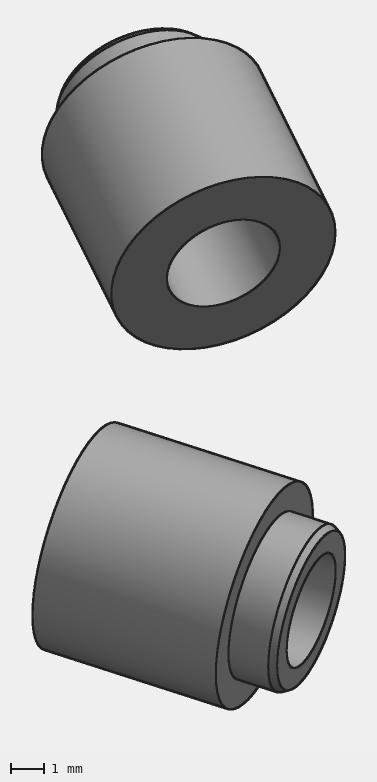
import cadquery as cq

body_diameter = 7.14
body_length = 6.0
spigot_diameter = 5.28
spigot_length = 1.53
bore_diameter = 3.6
chamfer_length = 0.23
chamfer_depth = 0.14

body_radius = body_diameter / 2
spigot_radius = spigot_diameter / 2
bore_radius = bore_diameter / 2
total_length = spigot_length + body_length


def bushing():
    """Revolve the half section (X = axial, Y = radial) about the X axis."""
    half_section = [
        (0, bore_radius),
        (0, spigot_radius - chamfer_depth),
        (chamfer_length, spigot_radius),
        (spigot_length, spigot_radius),
        (spigot_length, body_radius),
        (total_length, body_radius),
        (total_length, bore_radius),
    ]
    profile = cq.Workplane("XY").polyline(half_section).close()
    return profile.revolve(360, (0, 0, 0), (1, 0, 0))


result = bushing()